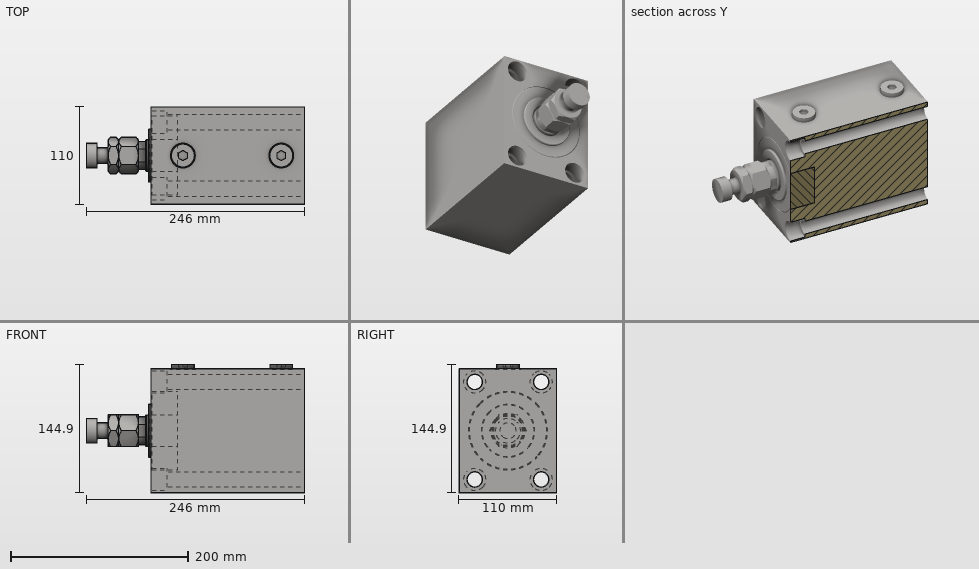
import cadquery as cq
import math

BLOCK_LENGTH = 173.2
BLOCK_WIDTH = 110.0
BLOCK_HEIGHT = 140.0
TOP_EDGE_CHAMFER = 0.5

BOLT_SPACING_Y = 75.0
BOLT_SPACING_Z = 110.0
BOLT_HOLE_DIAMETER = 17.0
BOLT_HEAD_DIAMETER = 25.0
BOLT_HEAD_DEPTH = 18.0

GLAND_DIAMETER = 89.0
GLAND_DEPTH = 30.0
GLAND_CHAMFER = 1.0
COLLAR_DIAMETER = 60.0
COLLAR_LENGTH = 3.0
COLLAR_CHAMFER = 0.75
ROD_ENTRY_DIAMETER = 39.0

ROD_DIAMETER = 36.0
ROD_SHOULDER_X = -6.0
ROD_SHOULDER_CHAMFER = 1.0
ROD_TIP_X = -14.0
ROD_TIP_DIAMETER = 35.0
ROD_FLATS_WIDTH = 32.0

HEX_WIDTH = 36.0
HEX_CHAMFER_DIAMETER = 35.5
FRONT_HEX_LENGTH = 12.0
REAR_HEX_LENGTH = 22.4
NECK_DIAMETER = 18.0
NECK_LENGTH = 12.4
NECK_FILLET = 1.2
HEAD_DIAMETER = 28.0
HEAD_LENGTH = 12.0

PLUG_POSITIONS_X = (36.0, 147.0)
PLUG_DIAMETER = 25.8
PLUG_PROTRUSION = 4.9
PLUG_SEAT_DIAMETER = 28.0
PLUG_SEAT_DEPTH = 1.0
SOCKET_WIDTH = 10.0
SOCKET_DEPTH = 3.0


def cylinder_x(diameter, start_x, length):
    """Cylinder on the bore axis, running in +X from start_x."""
    return cq.Workplane("YZ", origin=(start_x, 0, 0)).circle(diameter / 2).extrude(length)


def hexagon_circle(width):
    """Diameter of the circle through the corners of a hexagon of this width across flats."""
    return width / math.cos(math.radians(30))


def make_housing():
    top_z = BLOCK_HEIGHT / 2
    block = cq.Workplane("XY").box(BLOCK_LENGTH, BLOCK_WIDTH, BLOCK_HEIGHT)
    block = block.translate((BLOCK_LENGTH / 2, 0, 0))
    block = block.faces(">Z").edges("|X").chamfer(TOP_EDGE_CHAMFER)
    block = (
        block.faces("<X").workplane(origin=(0, 0, 0))
        .rarray(BOLT_SPACING_Y, BOLT_SPACING_Z, 2, 2)
        .cboreHole(BOLT_HOLE_DIAMETER, BOLT_HEAD_DIAMETER, BOLT_HEAD_DEPTH)
    )
    block = block.cut(cylinder_x(GLAND_DIAMETER, 0, GLAND_DEPTH))
    seats = (
        cq.Workplane("XY", origin=(0, 0, top_z - PLUG_SEAT_DEPTH))
        .pushPoints([(x, 0) for x in PLUG_POSITIONS_X])
        .circle(PLUG_SEAT_DIAMETER / 2)
        .extrude(PLUG_SEAT_DEPTH)
    )
    return block.cut(seats)


def make_gland():
    body = cylinder_x(GLAND_DIAMETER, 0, GLAND_DEPTH).faces("<X").chamfer(GLAND_CHAMFER)
    collar = cylinder_x(COLLAR_DIAMETER, -COLLAR_LENGTH, COLLAR_LENGTH)
    collar = collar.faces("<X").chamfer(COLLAR_CHAMFER)
    bore = cylinder_x(ROD_DIAMETER, -COLLAR_LENGTH, COLLAR_LENGTH + GLAND_DEPTH)
    gland = body.union(collar).cut(bore)
    entry_chamfer = (ROD_ENTRY_DIAMETER - ROD_DIAMETER) / 2
    return gland.faces("<X").edges(cq.selectors.RadiusNthSelector(0)).chamfer(entry_chamfer)


def make_rod():
    rod = cylinder_x(ROD_DIAMETER, ROD_SHOULDER_X, GLAND_DEPTH - ROD_SHOULDER_X)
    rod = rod.faces("<X").chamfer(ROD_SHOULDER_CHAMFER)
    tip_length = ROD_SHOULDER_X - ROD_TIP_X
    tip = cylinder_x(ROD_TIP_DIAMETER, ROD_TIP_X, tip_length)
    flats = (
        cq.Workplane("YZ", origin=(ROD_TIP_X, 0, 0))
        .rect(ROD_FLATS_WIDTH, ROD_FLATS_WIDTH)
        .extrude(tip_length)
    )
    return rod.union(tip.intersect(flats))


def chamfered_hexagon(start_x, length):
    """Hexagon with corners on +-Y, its corners turned off at 45 degrees at both ends."""
    corner_diameter = hexagon_circle(HEX_WIDTH)
    chamfer = (corner_diameter - HEX_CHAMFER_DIAMETER) / 2
    prism = (
        cq.Workplane("YZ", origin=(start_x, 0, 0))
        .polygon(6, corner_diameter)
        .extrude(length)
    )
    turned = cylinder_x(corner_diameter, start_x, length).faces("<X or >X").chamfer(chamfer)
    return prism.intersect(turned)


def make_coupling_pin():
    rear_hex_x = ROD_TIP_X - REAR_HEX_LENGTH
    front_hex_x = rear_hex_x - FRONT_HEX_LENGTH
    neck_x = front_hex_x - NECK_LENGTH
    head = cylinder_x(HEAD_DIAMETER, neck_x - HEAD_LENGTH, HEAD_LENGTH)
    neck = cylinder_x(NECK_DIAMETER, neck_x, NECK_LENGTH)
    front_hex = chamfered_hexagon(front_hex_x, FRONT_HEX_LENGTH)
    rear_hex = chamfered_hexagon(rear_hex_x, REAR_HEX_LENGTH)
    pin = head.union(neck).union(front_hex).union(rear_hex)
    neck_ends = cq.selectors.BoxSelector(
        (neck_x - NECK_FILLET, -NECK_DIAMETER, -NECK_DIAMETER),
        (front_hex_x + NECK_FILLET, NECK_DIAMETER, NECK_DIAMETER),
    )
    return pin.edges(neck_ends).edges(cq.selectors.RadiusNthSelector(0)).fillet(NECK_FILLET)


def make_plug(position_x):
    """Screw plug with a hexagon socket, seated in its spot face."""
    height = PLUG_SEAT_DEPTH + PLUG_PROTRUSION
    base_z = BLOCK_HEIGHT / 2 - PLUG_SEAT_DEPTH
    plug = cq.Workplane("XY").circle(PLUG_DIAMETER / 2).extrude(height)
    socket = (
        cq.Workplane("XY", origin=(0, 0, height - SOCKET_DEPTH))
        .transformed(rotate=(0, 0, 90))
        .polygon(6, hexagon_circle(SOCKET_WIDTH))
        .extrude(SOCKET_DEPTH)
    )
    return plug.cut(socket).translate((position_x, 0, base_z))


housing = make_housing()
gland = make_gland()
rod = make_rod()
coupling_pin = make_coupling_pin()
plugs = [make_plug(x) for x in PLUG_POSITIONS_X]

result = cq.Compound.makeCompound(
    [housing.val(), gland.val(), rod.val(), coupling_pin.val()] + [plug.val() for plug in plugs]
)